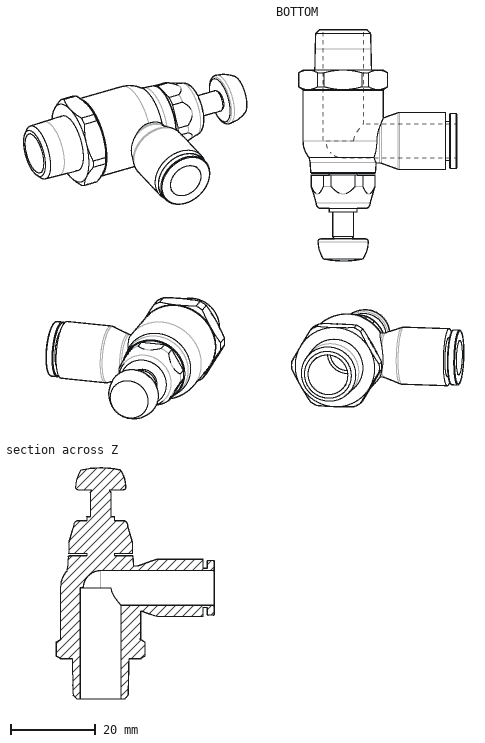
import cadquery as cq
import math


stub_length = 9.5
stub_root_radius = 6.7
stub_gauge_y = 4.5
stub_gauge_radius = 6.6
stub_tip_radius = 6.5
stub_chamfer = 0.9

hex_flats = 19.0
hex_corner_radius = 10.5
hex_top = 14.1
hex_bevel_height = 0.65

body_radius = hex_flats / 2
body_bevel = 0.2
shoulder_y = 26.2
shoulder_top_y = 30.1
shoulder_top_radius = 8.05
shoulder_arc_radius = 6.3
cap_base_y = 31.3
cap_base_radius = 7.8
cap_top_y = 33.8
cap_top_radius = 7.65
cap_bevel = 0.2

nut_bottom_y = 34.25
nut_flats = 14.0
nut_corner_radius = 7.55
nut_dome_start_y = 36.9
nut_dome_mid = (7.02, 38.6)
nut_shoulder = (6.4, 40.8)
nut_rim = (6.15, 41.6)
nut_top_y = 42.05
nut_top_radius = 5.6

guide_radius = 3.3
guide_top_y = 42.95
stem_radius = 2.5
stem_bevel = 0.4
stem_shoulder_y = 48.7

knob_bottom_y = 49.2
knob_bottom_radius = 5.25
knob_edge_start = (5.65, 49.35)
knob_edge_mid = (5.9, 49.63)
knob_widest = (5.95, 50.0)
knob_side_mid = (5.6, 52.1)
knob_rim = (4.65, 54.0)
knob_top_y = 54.5

branch_y = shoulder_y
branch_root_x = 8.78
branch_root_radius = 5.2
branch_cone_end_x = 13.1
branch_radius = 6.75
branch_blend = 0.23
branch_end_x = 24.15
branch_neck_radius = 4.65
flange_start_x = 25.05
flange_end_x = 26.8
flange_radius = 6.5
flange_bevel = 0.2

inlet_radius = 4.75
passage_radius = 4.05


def revolve_main(profile):
    """Close a profile drawn as (radius, y) and revolve it about the Y axis."""
    return profile.close().revolve(360, (0, 0, 0), (0, 1, 0))


def cylinder_y(radius, start_y, end_y):
    """Cylinder on the main axis."""
    return revolve_main(
        cq.Workplane("XY")
        .moveTo(0, start_y)
        .lineTo(radius, start_y)
        .lineTo(radius, end_y)
        .lineTo(0, end_y)
    )


def hex_prism(flats, start_y, end_y):
    """Hexagonal prism on the main axis with corners at +X and -X."""
    corner_diameter = flats / math.cos(math.pi / 6)
    return (
        cq.Workplane("XZ", origin=(0, start_y, 0))
        .polygon(6, corner_diameter)
        .extrude(start_y - end_y)
    )


def make_stub():
    end_radius = stub_tip_radius - stub_chamfer
    return revolve_main(
        cq.Workplane("XY")
        .moveTo(0, 0)
        .lineTo(end_radius, 0)
        .lineTo(stub_tip_radius, stub_chamfer)
        .lineTo(stub_gauge_radius, stub_gauge_y)
        .lineTo(stub_root_radius, stub_length)
        .lineTo(0, stub_length)
    )


def make_body_hex():
    """Hexagon with its corners turned down and bevelled on both faces."""
    face_radius = hex_flats / 2
    envelope = revolve_main(
        cq.Workplane("XY")
        .moveTo(0, stub_length)
        .lineTo(face_radius, stub_length)
        .lineTo(hex_corner_radius, stub_length + hex_bevel_height)
        .lineTo(hex_corner_radius, hex_top - hex_bevel_height)
        .lineTo(face_radius, hex_top)
        .lineTo(0, hex_top)
    )
    return envelope.intersect(hex_prism(hex_flats, stub_length, hex_top))


def make_body():
    return revolve_main(
        cq.Workplane("XY")
        .moveTo(0, hex_top)
        .lineTo(body_radius - body_bevel, hex_top)
        .lineTo(body_radius, hex_top + body_bevel)
        .lineTo(body_radius, shoulder_y)
        .radiusArc((shoulder_top_radius, shoulder_top_y), -shoulder_arc_radius)
        .lineTo(cap_base_radius, cap_base_y)
        .lineTo(cap_top_radius, cap_top_y - cap_bevel)
        .lineTo(cap_top_radius - cap_bevel, cap_top_y)
        .lineTo(0, cap_top_y)
    )


def make_nut():
    """Domed nut: the hexagon flats run out in arches on the dome."""
    envelope = revolve_main(
        cq.Workplane("XY")
        .moveTo(0, nut_bottom_y)
        .lineTo(nut_corner_radius, nut_bottom_y)
        .lineTo(nut_corner_radius, nut_dome_start_y)
        .threePointArc(nut_dome_mid, nut_shoulder)
        .threePointArc(nut_rim, (nut_top_radius, nut_top_y))
        .lineTo(0, nut_top_y)
    )
    return envelope.intersect(hex_prism(nut_flats, nut_bottom_y, nut_top_y))


def make_stem():
    guide = cylinder_y(guide_radius, cap_top_y, guide_top_y)
    stem = revolve_main(
        cq.Workplane("XY")
        .moveTo(0, guide_top_y)
        .lineTo(stem_radius, guide_top_y)
        .lineTo(stem_radius, stem_shoulder_y)
        .lineTo(stem_radius - stem_bevel, knob_bottom_y)
        .lineTo(0, knob_bottom_y)
    )
    return guide.union(stem)


def make_knob():
    rim_radius, rim_y = knob_rim
    crown_height = knob_top_y - rim_y
    crown_radius = (rim_radius**2 + crown_height**2) / (2 * crown_height)
    return revolve_main(
        cq.Workplane("XY")
        .moveTo(0, knob_bottom_y)
        .lineTo(knob_bottom_radius, knob_bottom_y)
        .lineTo(*knob_edge_start)
        .threePointArc(knob_edge_mid, knob_widest)
        .threePointArc(knob_side_mid, knob_rim)
        .radiusArc((0, knob_top_y), -crown_radius)
    )


def make_branch():
    """Tube branch revolved about its own X axis, starting on the main axis."""
    cone_length = branch_cone_end_x - branch_root_x
    cone_angle = math.atan2(branch_radius - branch_root_radius, cone_length)
    blend_x = branch_blend * math.cos(cone_angle)
    blend_rise = branch_blend * math.sin(cone_angle)
    return (
        cq.Workplane("XY", origin=(0, branch_y, 0))
        .moveTo(0, 0)
        .lineTo(0, branch_root_radius)
        .lineTo(branch_root_x - branch_blend, branch_root_radius)
        .tangentArcPoint((branch_root_x + blend_x, branch_root_radius + blend_rise), relative=False)
        .lineTo(branch_cone_end_x - blend_x, branch_radius - blend_rise)
        .tangentArcPoint((branch_cone_end_x + branch_blend, branch_radius), relative=False)
        .lineTo(branch_end_x, branch_radius)
        .lineTo(branch_end_x, branch_neck_radius)
        .lineTo(flange_start_x, branch_neck_radius)
        .lineTo(flange_start_x, flange_radius - flange_bevel)
        .lineTo(flange_start_x + flange_bevel, flange_radius)
        .lineTo(flange_end_x - flange_bevel, flange_radius)
        .lineTo(flange_end_x, flange_radius - flange_bevel)
        .lineTo(flange_end_x, 0)
        .close()
        .revolve(360, (0, 0, 0), (1, 0, 0))
    )


def make_passages():
    """Inlet bore up to the branch axis, then a round-ended bore out along +X."""
    inlet = cylinder_y(inlet_radius, 0, branch_y)
    outlet = (
        cq.Workplane("YZ", origin=(0, branch_y, 0))
        .circle(passage_radius)
        .extrude(flange_end_x)
    )
    round_end = cq.Workplane("XY", origin=(0, branch_y, 0)).sphere(passage_radius)
    return inlet.union(outlet).union(round_end)


solid = make_stub()
for section in (make_body_hex(), make_body(), make_branch(), make_stem(), make_nut(), make_knob()):
    solid = solid.union(section)

result = solid.cut(make_passages())